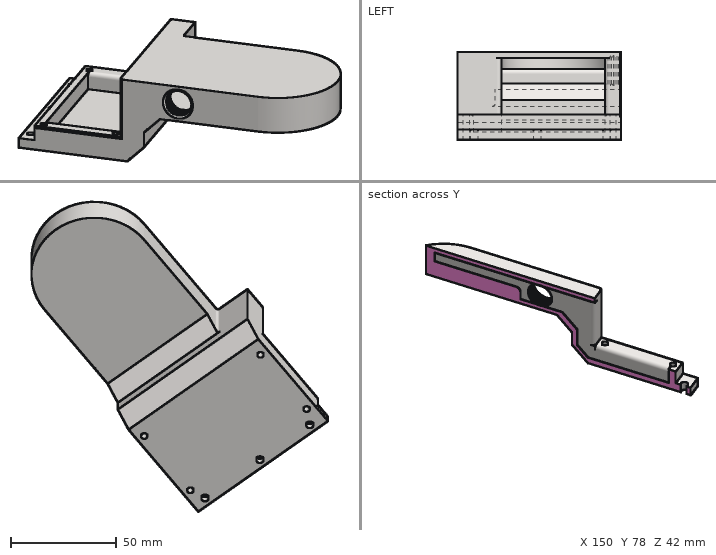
import cadquery as cq

length = 150.0
width = 78.0
height = 42.0

lip_length = 7.8
lip_height = 5.0
plate_height = 12.2
wall_x = 50.7
heel_x = 62.8
heel_low_z = 8.4
heel_high_z = 16.0
arm_bottom = 24.0

arm_width = 60.0
arm_radius = arm_width / 2
arm_center_x = length - arm_radius
corner_radius = 1.2

relief_width = 0.6
relief_depth = 0.9

shell = 3.0
cavity_floor = arm_bottom + shell
cavity_top = height - shell
cavity_y_min = 7.8
cavity_y_max = arm_width - shell
pocket_floor = 3.8
pocket_x = 11.7
pocket_y_max = 70.2
rim_radius = 2.1
neck_x = 60.0
neck_low_z = 9.5
neck_high_z = 19.0

ledge_x = 90.0
ledge_top = 33.9
ledge_radius = 2.5

lip_hole_diameter = 3.5
lip_hole_x = 3.8
lip_hole_ys = (6.9, 39.9, 69.9)
plate_hole_diameter = 3.0
plate_hole_xs = (11.2, 47.2)
plate_hole_ys = (3.9, 73.8)

port_x = 79.8
port_z = (arm_bottom + height) / 2
port_bore = 12.6
port_thread = 14.2
port_mouth = 15.0
thread_pitch = 1.6
thread_count = 3


def box(x_min, x_max, y_min, y_max, z_min, z_max):
    size = (x_max - x_min, y_max - y_min, z_max - z_min)
    return cq.Workplane("XY").box(*size, centered=False).translate((x_min, y_min, z_min))


def extrude_along_y(points, y_min, y_max):
    profile = cq.Workplane("XZ", origin=(0, y_min, 0)).polyline(points).close()
    return profile.extrude(y_min - y_max)


def rounded_arm(inset, x_min, z_min, z_max):
    """Arm outline with a semicircular +X end, moved inwards by inset."""
    return (
        cq.Workplane("XY", origin=(0, 0, z_min))
        .moveTo(x_min, inset)
        .lineTo(arm_center_x, inset)
        .threePointArc((length - inset, arm_radius), (arm_center_x, arm_width - inset))
        .lineTo(x_min, arm_width - inset)
        .close()
        .extrude(z_max - z_min)
    )


def make_body():
    profile = [
        (0, 0),
        (heel_x - heel_low_z, 0),
        (heel_x, heel_low_z),
        (heel_x, heel_high_z),
        (heel_x + arm_bottom - heel_high_z, arm_bottom),
        (length, arm_bottom),
        (length, height),
        (wall_x, height),
        (wall_x, plate_height),
        (lip_length, plate_height),
        (lip_length, lip_height),
        (0, lip_height),
    ]
    outline = rounded_arm(0, 0, 0, height).union(box(0, heel_x, 0, width, 0, height))
    inner_corner = cq.selectors.BoxSelector(
        (heel_x - corner_radius, arm_width - corner_radius, 0),
        (heel_x + corner_radius, arm_width + corner_radius, height),
    )
    outline = outline.edges("|Z").edges(inner_corner).fillet(corner_radius)
    return extrude_along_y(profile, 0, width).intersect(outline)


def make_edge_relief():
    plate_strip = box(
        lip_length, wall_x, 0, relief_width, plate_height - relief_depth, plate_height
    )
    wall_strip = box(
        wall_x, wall_x + relief_depth, 0, relief_width, plate_height - relief_depth, height
    )
    return plate_strip.union(wall_strip)


def make_neck():
    """Sloped passage joining the plate pocket to the hollow arm."""
    profile = [
        (pocket_x, pocket_floor),
        (neck_x - neck_low_z + pocket_floor, pocket_floor),
        (neck_x, neck_low_z),
        (neck_x, neck_high_z),
        (neck_x + cavity_floor - neck_high_z, cavity_floor),
        (neck_x + cavity_floor - neck_high_z, cavity_top),
        (pocket_x, cavity_top),
    ]
    return extrude_along_y(profile, cavity_y_min, cavity_y_max)


def make_arm_cavity():
    cavity = rounded_arm(shell, neck_x, cavity_floor, cavity_top)
    cavity = cavity.intersect(
        box(neck_x + cavity_floor - neck_high_z, length, cavity_y_min, width, 0, height)
    )
    ledge = box(ledge_x, length, 0, width, 0, ledge_top)
    ledge = ledge.edges("<X and >Z").fillet(ledge_radius)
    return cavity.cut(ledge)


def make_rim_rounding(y_edge, outward):
    """Cutter that rounds a long pocket rim; outward is +1 or -1 along Y."""
    y_outer = y_edge + outward * rim_radius
    z_low = plate_height - rim_radius
    strip = box(
        pocket_x, wall_x, min(y_edge, y_outer), max(y_edge, y_outer), z_low, plate_height
    )
    rod = (
        cq.Workplane("YZ", origin=(pocket_x, y_outer, z_low))
        .circle(rim_radius)
        .extrude(wall_x - pocket_x)
    )
    return strip.cut(rod)


def make_mouth_rounding(y_edge, outward, z_min):
    """Cutter that rounds a vertical edge of the neck mouth."""
    y_outer = y_edge + outward * rim_radius
    x_inner = wall_x + rim_radius
    strip = box(
        wall_x, x_inner, min(y_edge, y_outer), max(y_edge, y_outer), z_min, cavity_top
    )
    rod = (
        cq.Workplane("XY", origin=(x_inner, y_outer, z_min))
        .circle(rim_radius)
        .extrude(cavity_top - z_min)
    )
    return strip.cut(rod)


def make_screw_holes():
    lip_points = [(lip_hole_x, y) for y in lip_hole_ys]
    plate_points = [(x, y) for x in plate_hole_xs for y in plate_hole_ys]
    lip_holes = cq.Workplane("XY").pushPoints(lip_points).circle(lip_hole_diameter / 2)
    plate_holes = cq.Workplane("XY").pushPoints(plate_points).circle(plate_hole_diameter / 2)
    return lip_holes.extrude(plate_height).union(plate_holes.extrude(plate_height))


def make_port():
    """Chamfered bore with ring grooves in place of the helical thread."""
    bore_radius = port_bore / 2
    thread_radius = port_thread / 2
    chamfer = (port_mouth - port_bore) / 2
    outline = [(0, 0), (port_mouth / 2, 0), (bore_radius, chamfer)]
    for ring in range(thread_count):
        start = chamfer + ring * thread_pitch
        outline.append((thread_radius, start + thread_pitch / 2))
        outline.append((bore_radius, start + thread_pitch))
    outline += [(bore_radius, cavity_y_min), (0, cavity_y_min)]
    port = cq.Workplane("XY").polyline(outline).close().revolve(360, (0, 0, 0), (0, 1, 0))
    return port.translate((port_x, 0, port_z))


result = make_body()
result = result.cut(make_edge_relief())
result = result.cut(
    box(pocket_x, wall_x, cavity_y_min, pocket_y_max, pocket_floor, plate_height)
)
result = result.cut(make_neck())
result = result.cut(make_arm_cavity())
result = result.cut(make_rim_rounding(cavity_y_min, -1))
result = result.cut(make_rim_rounding(pocket_y_max, 1))
result = result.cut(make_mouth_rounding(cavity_y_min, -1, plate_height))
result = result.cut(make_mouth_rounding(cavity_y_max, 1, pocket_floor))
result = result.cut(make_screw_holes())
result = result.cut(make_port())